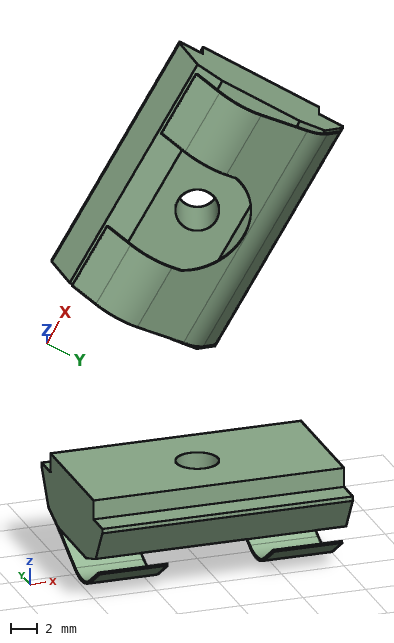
import cadquery as cq
import math

body_length = 20.0
body_width = 14.05
neck_width = 10.0
neck_height = 1.55
lip_height = 0.35
flank_height = 2.68
flank_angle = 60.0
chamfer_height = 0.78
chamfer_angle = 20.0
hole_diameter = 3.3

spring_length = 19.4
spring_thickness = 0.15
spring_overlap = 0.01
spring_height = 7.98
spring_top_z = -2.32
spring_tip_y = -5.4
upper_bend_y = 5.2
lower_bend_y = -1.7
middle_arm_angle = 25.0
tip_arm_angle = 35.0
upper_bend_radius = 3.8
lower_bend_radius = 3.5
notch_width = 8.48
notch_depth = 3.05
notch_base_y = 0.95


def slope(angle):
    return math.tan(math.radians(angle))


def make_body():
    half_width = body_width / 2
    half_neck = neck_width / 2
    lip_z = -neck_height - lip_height
    knuckle_y = half_width - flank_height / slope(flank_angle)
    knuckle_z = lip_z - flank_height
    base_y = knuckle_y - chamfer_height / slope(chamfer_angle)
    base_z = knuckle_z - chamfer_height
    half_outline = [
        (half_neck, 0),
        (half_neck, -neck_height),
        (half_width, -neck_height),
        (half_width, lip_z),
        (knuckle_y, knuckle_z),
        (base_y, base_z),
    ]
    mirrored = [(-y, z) for y, z in reversed(half_outline)]
    body = cq.Workplane("YZ").polyline(half_outline + mirrored).close()
    body = body.extrude(body_length / 2, both=True)
    hole = cq.Workplane("XY").circle(hole_diameter / 2).extrude(base_z)
    return body.cut(hole)


def toward(start, end, distance):
    """Point at the given distance from start on the line to end."""
    ratio = distance / math.dist(start, end)
    return tuple(a + (b - a) * ratio for a, b in zip(start, end))


def make_strip():
    gap = spring_thickness / 2 - spring_overlap
    flank_shift = gap / math.sin(math.radians(flank_angle))
    flank_top_z = -neck_height - lip_height

    def flank_line_z(y):
        return flank_top_z - (body_width / 2 + flank_shift - y) * slope(flank_angle)

    start_y = body_width / 2 + flank_shift - (flank_top_z - spring_top_z) / slope(flank_angle)
    start = (start_y, spring_top_z)
    upper = (upper_bend_y, flank_line_z(upper_bend_y))
    lower = (lower_bend_y, upper[1] - (upper_bend_y - lower_bend_y) * slope(middle_arm_angle))
    tip = (spring_tip_y, lower[1] + (lower_bend_y - spring_tip_y) * slope(tip_arm_angle))

    upper_tangent = upper_bend_radius * slope((flank_angle - middle_arm_angle) / 2)
    lower_tangent = lower_bend_radius * slope((middle_arm_angle + tip_arm_angle) / 2)
    path = (
        cq.Workplane("YZ")
        .moveTo(*start)
        .lineTo(*toward(upper, start, upper_tangent))
        .tangentArcPoint(toward(upper, lower, upper_tangent), relative=False)
        .lineTo(*toward(lower, upper, lower_tangent))
        .tangentArcPoint(toward(lower, tip, lower_tangent), relative=False)
        .lineTo(*tip)
    )
    heading = (0, upper[0] - start[0], upper[1] - start[1])
    section_plane = cq.Plane(origin=(0, *start), xDir=(1, 0, 0), normal=heading)
    return cq.Workplane(section_plane).rect(spring_length, spring_thickness).sweep(path)


def make_notch():
    half = notch_width / 2
    return (
        cq.Workplane("XY")
        .moveTo(-half, -body_width / 2)
        .lineTo(-half, notch_base_y)
        .threePointArc((0, notch_base_y + notch_depth), (half, notch_base_y))
        .lineTo(half, -body_width / 2)
        .close()
        .extrude(-2 * spring_height)
    )


result = make_body().union(make_strip().cut(make_notch()))